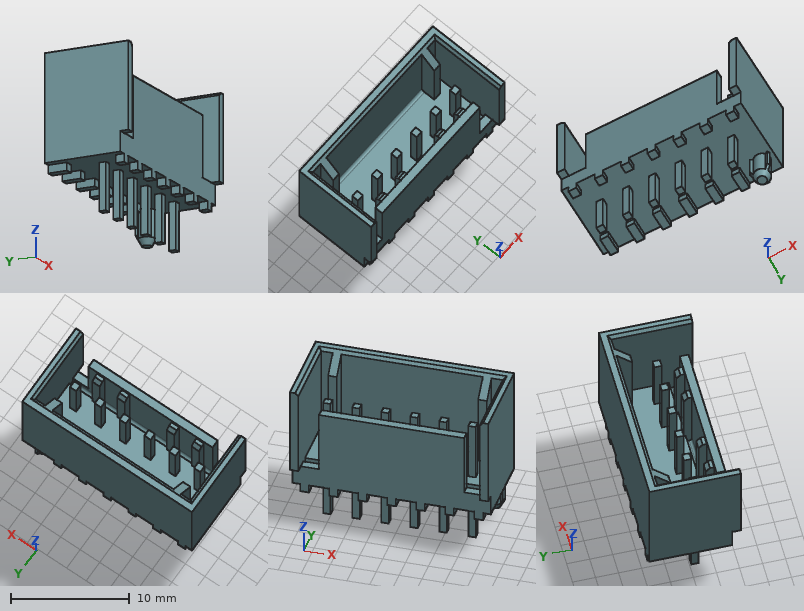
import cadquery as cq
import math


PITCH = 2.54
PIN_COUNT = 6
PIN_SIZE = 0.64
PIN_TOP = 7.66
PIN_BOTTOM = -3.56

LENGTH = 17.37
TOP = 10.41
BASE_BOTTOM = 0.72
FLOOR = 2.54
BACK_Y = 4.46
DEPTH = 7.95
BASE_DEPTH = 7.19
SIDE_FRONT_Y = BACK_Y - DEPTH
BASE_FRONT_Y = BACK_Y - BASE_DEPTH

SIDE_WALL = 0.74
BACK_WALL = 0.88
FRONT_WALL = 0.77
FRONT_WALL_LENGTH = (PIN_COUNT - 1) * PITCH
FRONT_WALL_TOP = 8.05
MOUTH_CHAMFER = 0.27
BACK_FILLET = 0.3

GROOVE_WIDTH = 0.54
GROOVE_DEPTH = 0.76
GROOVE_FILLET = 0.25

BACK_RIB_WIDTH = 0.76
BACK_RIB_X = 6.57
BACK_RIB_REACH = 2.28

FRONT_RIB_WIDTH = 0.78
FRONT_RIB_DEPTH = 0.71
FRONT_RIB_SLOPE = 0.36
FRONT_RIB_TOP = FRONT_WALL_TOP - FRONT_RIB_SLOPE
FRONT_RIB_X = (-2 * PITCH, -PITCH, PITCH, 2 * PITCH)

FOOT_WIDTH = 0.77
FRONT_FOOT_DEPTH = 0.79
BACK_FOOT_DEPTH = 1.76

PEG_X = 7.43
PEG_Y = 3.11
PEG_RADIUS = 0.78
PEG_TIP_RADIUS = 0.43
PEG_BOTTOM = -2.41
FIN_RADIUS = 1.065
FIN_WIDTH = 0.28
FIN_ANGLES = (90, 210, 330)
CONE_HALF_ANGLE = 29

INNER_LENGTH = LENGTH - 2 * SIDE_WALL
BACK_INNER_Y = BACK_Y - BACK_WALL
FRONT_INNER_Y = BASE_FRONT_Y + FRONT_WALL


def block(x0, x1, y0, y1, z0, z1):
    """Box between opposite corners."""
    return cq.Workplane("XY").box(x1 - x0, y1 - y0, z1 - z0, centered=False).translate((x0, y0, z0))


def centred_block(x, width, y0, y1, z0, z1):
    """Box whose X extent is centred on x."""
    return block(x - width / 2, x + width / 2, y0, y1, z0, z1)


def extrude_along_x(profile, x, width):
    """Extrude a closed YZ profile over a width centred on x."""
    return profile.extrude(width / 2, both=True).translate((x, 0, 0))


def make_base():
    base = centred_block(0, LENGTH, BASE_FRONT_Y, BACK_Y, BASE_BOTTOM, FLOOR)
    return base.cut(make_groove())


def make_groove():
    """Flat-bottomed groove with a fillet along the foot of its front side."""
    bottom_z = FLOOR - GROOVE_DEPTH
    back_y = FRONT_INNER_Y + GROOVE_WIDTH
    arc_end_y = FRONT_INNER_Y + GROOVE_FILLET
    profile = (
        cq.Workplane("YZ")
        .moveTo(FRONT_INNER_Y, FLOOR)
        .lineTo(FRONT_INNER_Y, bottom_z + GROOVE_FILLET)
        .radiusArc((arc_end_y, bottom_z), -GROOVE_FILLET)
        .lineTo(back_y, bottom_z)
        .lineTo(back_y, FLOOR)
        .close()
    )
    return extrude_along_x(profile, 0, INNER_LENGTH)


def make_walls():
    walls = centred_block(0, LENGTH, SIDE_FRONT_Y, BACK_Y, FLOOR, TOP)
    cavity = centred_block(0, INNER_LENGTH, SIDE_FRONT_Y, BACK_INNER_Y, FLOOR, TOP)
    cavity = cavity.edges("|X and >Y and <Z").fillet(BACK_FILLET)
    return walls.cut(cavity).cut(make_mouth_chamfer())


def make_mouth_chamfer():
    """Tapered cutter that bevels the top inner edges of the side and back walls."""
    back_y = BACK_INNER_Y + MOUTH_CHAMFER
    front_y = SIDE_FRONT_Y - MOUTH_CHAMFER
    return (
        cq.Workplane("XY", origin=(0, (front_y + back_y) / 2, TOP))
        .rect(INNER_LENGTH + 2 * MOUTH_CHAMFER, back_y - front_y)
        .extrude(-MOUTH_CHAMFER, taper=45)
    )


def make_front_wall():
    return centred_block(0, FRONT_WALL_LENGTH, BASE_FRONT_Y, FRONT_INNER_Y, FLOOR, FRONT_WALL_TOP)


def make_back_rib(x):
    """Rib whose 45 degree top continues the bevel of the back wall."""
    tip_y = BACK_Y - BACK_RIB_REACH
    shoulder_z = TOP - MOUTH_CHAMFER
    profile = (
        cq.Workplane("YZ")
        .moveTo(BACK_Y - BACK_WALL / 2, FLOOR)
        .lineTo(tip_y, FLOOR)
        .lineTo(tip_y, shoulder_z - (BACK_INNER_Y - tip_y))
        .lineTo(BACK_INNER_Y, shoulder_z)
        .lineTo(BACK_Y - BACK_WALL / 2, shoulder_z)
        .close()
    )
    return extrude_along_x(profile, x, BACK_RIB_WIDTH)


def make_front_rib(x):
    """Rib with a sloped lead-in at its top inner corner, rooted in the floor groove."""
    tip_y = FRONT_INNER_Y + FRONT_RIB_DEPTH
    root_z = FLOOR - GROOVE_DEPTH
    profile = (
        cq.Workplane("YZ")
        .moveTo(FRONT_INNER_Y, root_z)
        .lineTo(tip_y, root_z)
        .lineTo(tip_y, FRONT_RIB_TOP - FRONT_RIB_SLOPE)
        .lineTo(tip_y - FRONT_RIB_SLOPE, FRONT_RIB_TOP)
        .lineTo(FRONT_INNER_Y, FRONT_RIB_TOP)
        .close()
    )
    return extrude_along_x(profile, x, FRONT_RIB_WIDTH)


def make_feet():
    """A front row of feet beside and between the pins; the back row leaves room for the peg."""
    front_foot_back_y = BASE_FRONT_Y + FRONT_FOOT_DEPTH
    back_foot_front_y = BACK_Y - BACK_FOOT_DEPTH
    feet = cq.Workplane("XY")
    for i in range(PIN_COUNT + 1):
        x = (i - PIN_COUNT / 2) * PITCH
        feet = feet.add(centred_block(x, FOOT_WIDTH, BASE_FRONT_Y, front_foot_back_y, 0, BASE_BOTTOM))
        if i < PIN_COUNT:
            feet = feet.add(centred_block(x, FOOT_WIDTH, back_foot_front_y, BACK_Y, 0, BASE_BOTTOM))
    return feet.combine()


def make_pins():
    pins = cq.Workplane("XY")
    for i in range(PIN_COUNT):
        x = (i - (PIN_COUNT - 1) / 2) * PITCH
        pins = pins.add(centred_block(x, PIN_SIZE, -PIN_SIZE / 2, PIN_SIZE / 2, PIN_BOTTOM, PIN_TOP))
    return pins.combine()


def make_peg():
    height = BASE_BOTTOM - PEG_BOTTOM
    peg = cq.Workplane("XY").circle(PEG_RADIUS).extrude(height)
    for angle in FIN_ANGLES:
        fin = cq.Workplane("XY").box(2 * FIN_RADIUS, FIN_WIDTH, height, centered=(False, True, False))
        peg = peg.union(fin.rotate((0, 0, 0), (0, 0, 1), angle))
    cone_height = (FIN_RADIUS - PEG_TIP_RADIUS) / math.tan(math.radians(CONE_HALF_ANGLE))
    envelope = (
        cq.Workplane("XZ")
        .lineTo(PEG_TIP_RADIUS, 0)
        .lineTo(FIN_RADIUS, cone_height)
        .lineTo(FIN_RADIUS, height)
        .lineTo(0, height)
        .close()
        .revolve(360, (0, 0, 0), (0, 1, 0))
    )
    return peg.intersect(envelope).translate((PEG_X, PEG_Y, PEG_BOTTOM))


result = make_base().union(make_walls()).union(make_front_wall())
for rib_x in (-BACK_RIB_X, BACK_RIB_X):
    result = result.union(make_back_rib(rib_x))
for rib_x in FRONT_RIB_X:
    result = result.union(make_front_rib(rib_x))
result = result.union(make_feet()).union(make_pins()).union(make_peg())